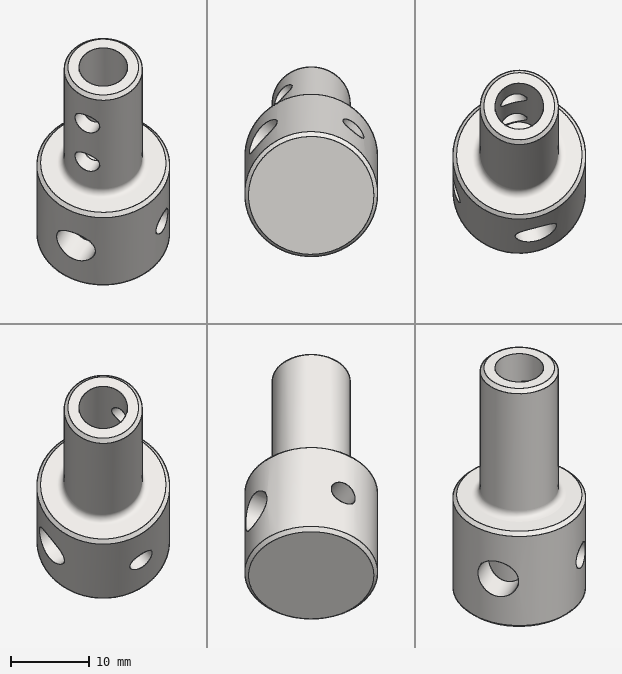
import cadquery as cq

total_height = 35.0
collar_diameter = 17.0
collar_height = 15.0
shank_diameter = 10.0
edge_chamfer = 0.5
root_fillet = 1.0

shank_bore_diameter = 6.2
shank_bore_depth = 16.0

screw_hole_diameter = 3.5
cross_hole_diameter = 5.5
shank_hole_heights = (21.0, 29.0)
collar_hole_height = collar_height / 2

core_diameter = shank_diameter


def radial_hole(diameter, height, direction):
    """Cylinder running outward from the part axis at the given height."""
    return cq.Workplane(
        cq.Solid.makeCylinder(
            diameter / 2,
            collar_diameter,
            cq.Vector(0, 0, height),
            cq.Vector(*direction),
        )
    )


collar = cq.Workplane("XY").circle(collar_diameter / 2).extrude(collar_height)
collar = collar.faces("<Z or >Z").edges().chamfer(edge_chamfer)

shank = (
    cq.Workplane("XY")
    .workplane(offset=collar_height)
    .circle(shank_diameter / 2)
    .extrude(total_height - collar_height)
    .faces(">Z")
    .edges()
    .chamfer(edge_chamfer)
)
body = collar.union(shank)
root_edge = cq.selectors.RadiusNthSelector(0)
top_of_collar = cq.selectors.NearestToPointSelector((0, 0, collar_height))
body = body.faces(top_of_collar).edges(root_edge).fillet(root_fillet)

body = body.faces(">Z").workplane().hole(shank_bore_diameter, shank_bore_depth)

for hole_height in shank_hole_heights:
    body = body.cut(radial_hole(screw_hole_diameter, hole_height, (0, -1, 0)))

core = cq.Workplane("XY").circle(core_diameter / 2).extrude(collar_height)
for side in (-1, 1):
    screw_hole = radial_hole(screw_hole_diameter, collar_hole_height, (side, 0, 0))
    cross_hole = radial_hole(cross_hole_diameter, collar_hole_height, (0, side, 0))
    body = body.cut(screw_hole.cut(core))
    body = body.cut(cross_hole.cut(core))

result = body